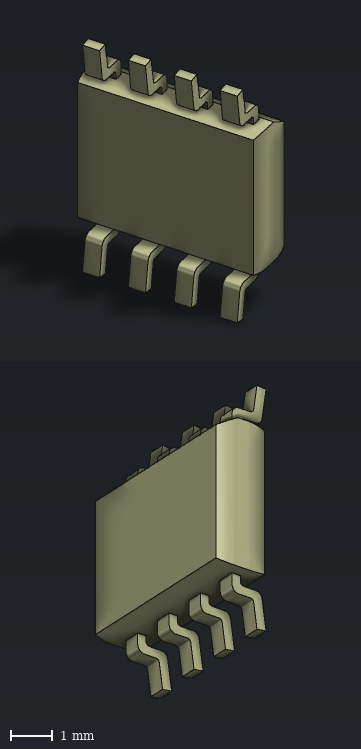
import cadquery as cq
import math

body_length = 5.0
body_height = 4.0
band_depth = 0.435
taper_depth = 0.5
taper_inset = 0.065
bevel_angle = 30.0
bevel_drop = 0.34

leads_per_row = 4
lead_pitch = 1.27
lead_width = 0.48
root_thickness = 0.245
shoulder_thickness = 0.255
foot_thickness = 0.275
lead_span = 6.58
shoulder_outer = 2.51
root_embed = 0.33
foot_front = -0.76
foot_angle = 8.0
outer_bend_radius = 0.2
inner_bend_radius = 0.105

front_y = -taper_depth
rear_y = band_depth + taper_depth


def tapered_outline(plane, half_width):
    """Closed outline, straight at the band and curving inward to both Y faces.

    The plane's local x is across the body and its local y is the body's Y.
    """
    end_half = half_width - taper_inset
    radius = (taper_depth**2 + taper_inset**2) / (2 * taper_inset)
    mid_depth = taper_depth / 2
    mid_half = half_width - radius + math.sqrt(radius**2 - mid_depth**2)
    return (
        cq.Workplane(plane)
        .moveTo(-end_half, front_y)
        .lineTo(end_half, front_y)
        .threePointArc((mid_half, -mid_depth), (half_width, 0))
        .lineTo(half_width, band_depth)
        .threePointArc((mid_half, band_depth + mid_depth), (end_half, rear_y))
        .lineTo(-end_half, rear_y)
        .threePointArc((-mid_half, band_depth + mid_depth), (-half_width, band_depth))
        .lineTo(-half_width, 0)
        .threePointArc((-mid_half, -mid_depth), (-end_half, front_y))
        .close()
    )


def make_body():
    side_plane = cq.Plane(origin=(0, 0, 0), xDir=(0, 0, 1), normal=(-1, 0, 0))
    across_x = tapered_outline("XY", body_length / 2).extrude(body_height / 2, both=True)
    across_z = tapered_outline(side_plane, body_height / 2).extrude(body_length / 2, both=True)
    body = across_x.intersect(across_z)

    top_z = body_height / 2
    bevel_run = bevel_drop / math.tan(math.radians(bevel_angle))
    bevel = (
        cq.Workplane("YZ")
        .polyline([(rear_y - bevel_run, top_z), (rear_y, top_z - bevel_drop), (rear_y, top_z)])
        .close()
        .extrude(body_length / 2, both=True)
    )
    return body.cut(bevel)


def make_lead():
    """One upper lead centred on X = 0."""
    lean = math.radians(foot_angle)
    root_z = body_height / 2 - root_embed
    tip_z = lead_span / 2
    shoulder_inner = shoulder_outer - shoulder_thickness

    tip_rear = (foot_front + foot_thickness * math.cos(lean), tip_z)
    tip_front = (foot_front, tip_z - foot_thickness * math.sin(lean))
    heel_rear = (tip_rear[0] + (tip_z - shoulder_outer) * math.tan(lean), shoulder_outer)
    heel_front = (foot_front + (tip_front[1] - shoulder_inner) * math.tan(lean), shoulder_inner)
    shoulder_rear = (root_thickness, shoulder_outer)
    shoulder_front = (0, shoulder_inner)

    lead = (
        cq.Workplane("YZ")
        .polyline([
            (0, root_z), shoulder_front, heel_front, tip_front,
            tip_rear, heel_rear, shoulder_rear, (root_thickness, root_z),
        ])
        .close()
        .extrude(lead_width / 2, both=True)
    )
    bends = (
        (shoulder_front, inner_bend_radius),
        (heel_rear, inner_bend_radius),
        (shoulder_rear, outer_bend_radius),
        (heel_front, outer_bend_radius),
    )
    for (y, z), radius in bends:
        corner = cq.selectors.NearestToPointSelector((0, y, z))
        lead = lead.edges("|X").edges(corner).fillet(radius)
    return lead


upper_lead = make_lead()
lower_lead = upper_lead.mirror("XY")

result = make_body()
for index in range(leads_per_row):
    lead_x = (index - (leads_per_row - 1) / 2) * lead_pitch
    for lead in (upper_lead, lower_lead):
        result = result.union(lead.translate((lead_x, 0, 0)))